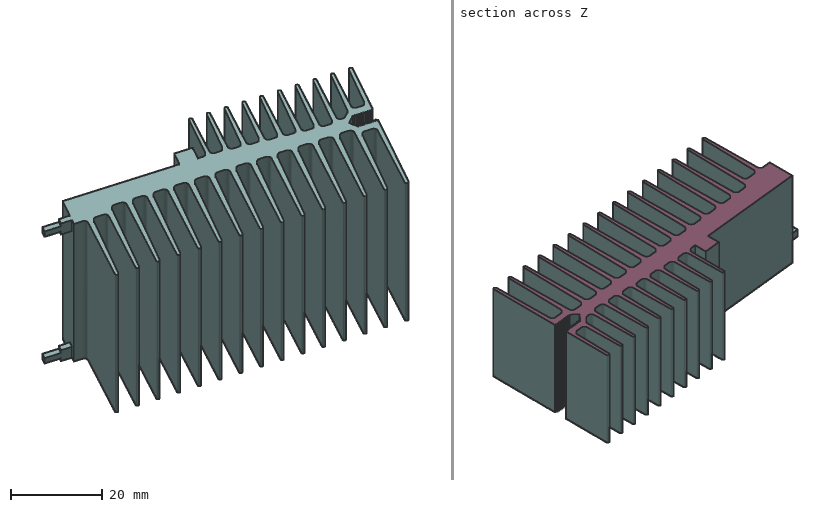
import cadquery as cq
import math


LENGTH = 50.0
FIN_TIP_LEFT = -14.0
FIN_TIP_RIGHT = 20.0
BODY_BOTTOM = -72.4
BODY_LEFT = -3.15

DRAFT = math.tan(math.radians(1.0))
TOP_FIN_TIP = 0.9

RIGHT_FIN_TIP = 0.8
RIGHT_FIN_COUNT = 14
RIGHT_FIRST_FIN = -5.405
RIGHT_PITCH = 4.87

LEFT_FIN_TIP = 0.8
LEFT_FIN_COUNT = 9
LEFT_FIRST_FIN = -4.7
LEFT_PITCH = 4.175

RIGHT_FLOOR = 1.95
RIGHT_TOP_FLOOR = 3.35
RIGHT_FOOT_FLOOR = 3.6
LEFT_TOP_FLOOR = -3.3
LEFT_SLANTED_FLOOR = -1.65
LEFT_WAIST_FLOOR = -1.2
WIDE_RADIUS = 1.0
NARROW_RADIUS = 0.9

SLANT_START = (-3.0, -5.33)
SLANT_FLOOR_RADIUS = 0.9
SLANT_START_RADIUS = 0.7

LEDGE_LEFT = -6.3
LEDGE_TOP = -40.55
LEDGE_BOTTOM = -44.9

GROOVE_DEPTH = 6.25
THREAD_MAJOR = 3.12
THREAD_MINOR = 2.46
THREAD_PITCH = 0.5
THREAD_COUNT = 9
THREAD_LEAD_IN = THREAD_PITCH / 2

PIN_CENTER_X = 1.8
PIN_THICKNESS = 1.3
PIN_END = -78.85
SHOULDER_LENGTH = 2.6
SHOULDER_WIDTH = 4.0
PIN_WIDTH = 2.0


def extrude(points):
    return cq.Workplane("XY").polyline(points).close().extrude(LENGTH)


def box_between(x0, x1, y0, y1, z0, z1):
    corner = (x0, y0, z0)
    return cq.Workplane("XY").box(x1 - x0, y1 - y0, z1 - z0, centered=False).translate(corner)


def gap(tip_x, floor_x, upper, lower, radius):
    """Space between two fins; upper and lower are its Y limits at the fin tips."""
    lean = abs(tip_x - floor_x) * DRAFT
    points = [(tip_x, upper), (floor_x, upper - lean), (floor_x, lower + lean), (tip_x, lower)]
    side = "<X" if floor_x < tip_x else ">X"
    return extrude(points).edges("|Z").edges(side).fillet(radius)


def slanted_gap(tip_x, floor_x, upper, lower):
    """Second left gap, whose upper inner corner is cut off by a 45 degree wall."""
    slant_x, slant_y = SLANT_START
    floor_y = slant_y - (floor_x - slant_x)
    lower_inner = lower + (floor_x - tip_x) * DRAFT
    points = [
        (tip_x, upper),
        (slant_x, slant_y),
        (floor_x, floor_y),
        (floor_x, lower_inner),
        (tip_x, lower),
    ]
    pocket = extrude(points).edges("|Z").edges(">X").fillet(SLANT_FLOOR_RADIUS)
    slant_edge = cq.selectors.NearestToPointSelector((slant_x, slant_y, LENGTH / 2))
    return pocket.edges("|Z").edges(slant_edge).fillet(SLANT_START_RADIUS)


def fin_faces(first, pitch, count, tip):
    """Upper and lower Y of every fin at its tip, starting with the top fin."""
    faces = [(0.0, -TOP_FIN_TIP)]
    for i in range(count):
        center = first - i * pitch
        faces.append((center + tip / 2, center - tip / 2))
    return faces


def right_faces():
    return fin_faces(RIGHT_FIRST_FIN, RIGHT_PITCH, RIGHT_FIN_COUNT, RIGHT_FIN_TIP)


def left_faces():
    return fin_faces(LEFT_FIRST_FIN, LEFT_PITCH, LEFT_FIN_COUNT, LEFT_FIN_TIP)


def tip_rounds(tip_x, faces):
    """Cutters that round the fin tips; each arc spans the fin's thickness at the arc centre."""
    inward = -math.copysign(1, tip_x)
    cutters = []
    for i, (upper, lower) in enumerate(faces):
        upper_draft = 0 if i == 0 else DRAFT
        is_last_left = tip_x == FIN_TIP_LEFT and i == len(faces) - 1
        lower_draft = 0 if is_last_left else DRAFT
        radius = (upper - lower) / (2 - upper_draft - lower_draft)
        center_x = tip_x + inward * radius
        top = upper + radius * upper_draft
        bottom = top - 2 * radius
        block = extrude([(center_x, top), (tip_x, top), (tip_x, bottom), (center_x, bottom)])
        arc = cq.Workplane("XY").center(center_x, top - radius).circle(radius).extrude(LENGTH)
        cutters.append(block.cut(arc))
    return cutters


def right_gaps():
    faces = right_faces()
    last = len(faces) - 2
    gaps = []
    for i in range(last + 1):
        floor, radius = RIGHT_FLOOR, WIDE_RADIUS
        if i == 0:
            floor, radius = RIGHT_TOP_FLOOR, NARROW_RADIUS
        elif i == last:
            floor, radius = RIGHT_FOOT_FLOOR, NARROW_RADIUS
        gaps.append(gap(FIN_TIP_RIGHT, floor, faces[i][1], faces[i + 1][0], radius))
    return gaps


def foot_relief():
    """Open space below the last right fin."""
    upper = right_faces()[-1][1]
    lean = (FIN_TIP_RIGHT - RIGHT_FOOT_FLOOR) * DRAFT
    points = [
        (FIN_TIP_RIGHT, upper),
        (RIGHT_FOOT_FLOOR, upper - lean),
        (RIGHT_FOOT_FLOOR, BODY_BOTTOM),
        (FIN_TIP_RIGHT, BODY_BOTTOM),
    ]
    return extrude(points).edges("|Z").edges("<X").edges(">Y").fillet(NARROW_RADIUS)


def left_gaps():
    faces = left_faces()
    gaps = [
        gap(FIN_TIP_LEFT, LEFT_TOP_FLOOR, faces[0][1], faces[1][0], NARROW_RADIUS),
        slanted_gap(FIN_TIP_LEFT, LEFT_SLANTED_FLOOR, faces[1][1], faces[2][0]),
    ]
    first, last = 2, len(faces) - 2
    step = (BODY_LEFT - LEFT_WAIST_FLOOR) / (last - first)
    for i in range(first, last + 1):
        floor = LEFT_WAIST_FLOOR + (i - first) * step
        gaps.append(gap(FIN_TIP_LEFT, floor, faces[i][1], faces[i + 1][0], NARROW_RADIUS))
    return gaps


def ledge_relief():
    """Space between the last left fin, whose lower face has no draft, and the ledge."""
    upper = left_faces()[-1][1]
    points = [
        (FIN_TIP_LEFT, upper),
        (BODY_LEFT, upper),
        (BODY_LEFT, LEDGE_TOP),
        (FIN_TIP_LEFT, LEDGE_TOP),
    ]
    return extrude(points).edges("|Z").edges(">X").edges(">Y").fillet(WIDE_RADIUS)


def blank():
    """Section outline before the fin gaps are cut."""
    points = [
        (FIN_TIP_LEFT, 0),
        (FIN_TIP_RIGHT, 0),
        (FIN_TIP_RIGHT, BODY_BOTTOM),
        (BODY_LEFT, BODY_BOTTOM),
        (BODY_LEFT, LEDGE_BOTTOM),
        (LEDGE_LEFT, LEDGE_BOTTOM),
        (LEDGE_LEFT, LEDGE_TOP),
        (FIN_TIP_LEFT, LEDGE_TOP),
    ]
    return extrude(points)


def screw_groove():
    """Groove with zigzag thread flanks and a V bottom."""
    major = THREAD_MAJOR / 2
    minor = THREAD_MINOR / 2
    flank = [(major, 0), (major, -THREAD_LEAD_IN)]
    for i in range(THREAD_COUNT):
        root = -THREAD_LEAD_IN - i * THREAD_PITCH
        flank.append((minor, root - THREAD_PITCH / 2))
        flank.append((major, root - THREAD_PITCH))
    mirrored = [(-x, y) for x, y in reversed(flank)]
    return extrude(flank + [(0, -GROOVE_DEPTH)] + mirrored)


def solder_pin(outer_z, inward):
    """Stepped pin; its shoulder starts at outer_z and extends in the inward direction."""
    x0 = PIN_CENTER_X - PIN_THICKNESS / 2
    x1 = PIN_CENTER_X + PIN_THICKNESS / 2
    center_z = outer_z + inward * SHOULDER_WIDTH / 2

    def blade(end_y, width):
        return box_between(x0, x1, end_y, BODY_BOTTOM, center_z - width / 2, center_z + width / 2)

    shoulder = blade(BODY_BOTTOM - SHOULDER_LENGTH, SHOULDER_WIDTH)
    return shoulder.union(blade(PIN_END, PIN_WIDTH))


def heat_sink():
    body = blank()
    for cutter in right_gaps() + left_gaps() + [foot_relief(), ledge_relief(), screw_groove()]:
        body = body.cut(cutter)
    for cutter in tip_rounds(FIN_TIP_RIGHT, right_faces()) + tip_rounds(FIN_TIP_LEFT, left_faces()):
        body = body.cut(cutter)
    body = body.union(solder_pin(0, 1))
    return body.union(solder_pin(LENGTH, -1))


result = heat_sink()